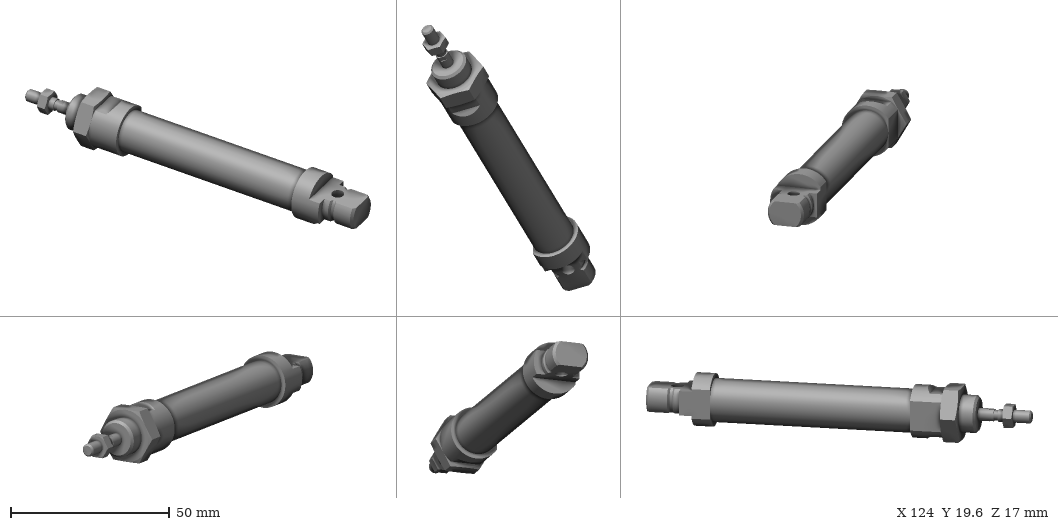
import cadquery as cq
import math


rod_nut_start = 5.7
rod_nut_end = 8.8
rod_groove_start = 10.7
rod_groove_end = 12.0
wrench_flat_end = 13.6
nose_start = 17.1
mount_nut_start = 22.5
mount_nut_end = 27.9
spanner_flat_end = 32.0
tube_start = 38.0
tube_end = 102.9
lug_start = 108.9
shoulder_end = 112.8
lug_groove_start = 115.0
lug_groove_end = 117.0
overall_length = 124.0

rod_diameter = 4.1
rod_groove_diameter = 3.3
rod_flat_width = 3.6
rod_chamfer = 0.5

rod_nut_width = 7.0
mount_nut_width = 17.0
nut_chamfer_angle = 15.0

tube_diameter = 14.0
cover_diameter = 17.0
thread_diameter = 12.0
thread_chamfer = 0.7
lug_chamfer_length = 0.9
lug_thickness = 7.9
lug_groove_diameter = 10.7
lug_groove_slope = 0.6
pivot_hole_x = 115.0
pivot_hole_diameter = 4.1


def rod_shape(start, end, diameter):
    """Round bar along the X axis."""
    return cq.Workplane("YZ", origin=(start, 0, 0)).circle(diameter / 2).extrude(end - start)


def block(x_range, y_range, z_range):
    """Box between two limits on each axis."""
    size = [high - low for low, high in (x_range, y_range, z_range)]
    return cq.Workplane("XY").box(*size, centered=False).translate((x_range[0], y_range[0], z_range[0]))


def revolved(points):
    """Solid turned about the X axis from (x, radius) points."""
    return cq.Workplane("XY").polyline(points).close().revolve(360, (0, 0, 0), (1, 0, 0))


def trim_port_side(cover):
    """Cut the +Y side of a cover flush with the tube."""
    flush = tube_diameter / 2
    cutter = block((0, overall_length), (flush, cover_diameter), (-cover_diameter, cover_diameter))
    return cover.cut(cutter)


def make_piston_rod():
    radius = rod_diameter / 2
    groove_radius = rod_groove_diameter / 2
    rod = revolved([
        (0, 0),
        (0, radius - rod_chamfer),
        (rod_chamfer, radius),
        (rod_groove_start, radius),
        (rod_groove_start, groove_radius),
        (rod_groove_end, groove_radius),
        (rod_groove_end, radius),
        (nose_start, radius),
        (nose_start, 0),
    ])
    flat_x = (rod_groove_end, wrench_flat_end)
    half_width = rod_flat_width / 2
    for z_range in ((half_width, rod_diameter), (-rod_diameter, -half_width)):
        rod = rod.cut(block(flat_x, (-rod_diameter, rod_diameter), z_range))
    return rod


def make_hex_nut(start, end, width, bore):
    """Hexagon nut with flats facing +Z and -Z and corners chamfered at both ends."""
    corner_radius = width / math.sqrt(3)
    hexagon = cq.Workplane("YZ", origin=(start, 0, 0)).polygon(6, 2 * corner_radius).extrude(end - start)
    face_radius = width / 2
    drop = (corner_radius - face_radius) * math.tan(math.radians(nut_chamfer_angle))
    envelope = revolved([
        (start, 0),
        (start, face_radius),
        (start + drop, corner_radius),
        (end - drop, corner_radius),
        (end, face_radius),
        (end, 0),
    ])
    return hexagon.intersect(envelope).cut(rod_shape(start, end, bore))


def make_front_cover():
    thread_radius = thread_diameter / 2
    cover_radius = cover_diameter / 2
    cover = trim_port_side(revolved([
        (nose_start, 0),
        (nose_start, thread_radius - thread_chamfer),
        (nose_start + thread_chamfer, thread_radius),
        (mount_nut_end, thread_radius),
        (mount_nut_end, cover_radius),
        (tube_start, cover_radius),
        (tube_start, 0),
    ]))
    flat_height = tube_diameter / 2
    rise = cover_diameter - flat_height
    notch = (
        cq.Workplane("XZ")
        .polyline([
            (mount_nut_end, flat_height),
            (spanner_flat_end, flat_height),
            (spanner_flat_end + rise, cover_diameter),
            (mount_nut_end, cover_diameter),
        ])
        .close()
        .extrude(cover_radius, both=True)
    )
    return cover.cut(notch).cut(notch.mirror("XY"))


def make_tube():
    return rod_shape(tube_start, tube_end, tube_diameter)


def make_rear_cover():
    thread_radius = thread_diameter / 2
    cover_radius = cover_diameter / 2
    cover = revolved([
        (tube_end, 0),
        (tube_end, cover_radius),
        (shoulder_end, cover_radius),
        (shoulder_end, thread_radius),
        (overall_length - lug_chamfer_length, thread_radius),
        (overall_length, thread_radius - thread_chamfer),
        (overall_length, 0),
    ])
    groove_radius = lug_groove_diameter / 2
    groove = revolved([
        (lug_groove_start, thread_radius),
        (lug_groove_start + lug_groove_slope, groove_radius),
        (lug_groove_end - lug_groove_slope, groove_radius),
        (lug_groove_end, thread_radius),
        (lug_groove_end, cover_radius),
        (lug_groove_start, cover_radius),
    ])
    cover = cover.cut(groove)
    cover = trim_port_side(cover)
    lug_x = (lug_start, overall_length)
    half_thickness = lug_thickness / 2
    for z_range in ((half_thickness, cover_diameter), (-cover_diameter, -half_thickness)):
        cover = cover.cut(block(lug_x, (-cover_diameter, cover_diameter), z_range))
    pivot_hole = (
        cq.Workplane("XY")
        .center(pivot_hole_x, 0)
        .circle(pivot_hole_diameter / 2)
        .extrude(lug_thickness, both=True)
    )
    return cover.cut(pivot_hole)


piston_rod = make_piston_rod()
rod_nut = make_hex_nut(rod_nut_start, rod_nut_end, rod_nut_width, rod_diameter)
mount_nut = make_hex_nut(mount_nut_start, mount_nut_end, mount_nut_width, thread_diameter)
front_cover = make_front_cover()
tube = make_tube()
rear_cover = make_rear_cover()

result = cq.Compound.makeCompound([
    piston_rod.val(),
    rod_nut.val(),
    mount_nut.val(),
    front_cover.val(),
    tube.val(),
    rear_cover.val(),
])